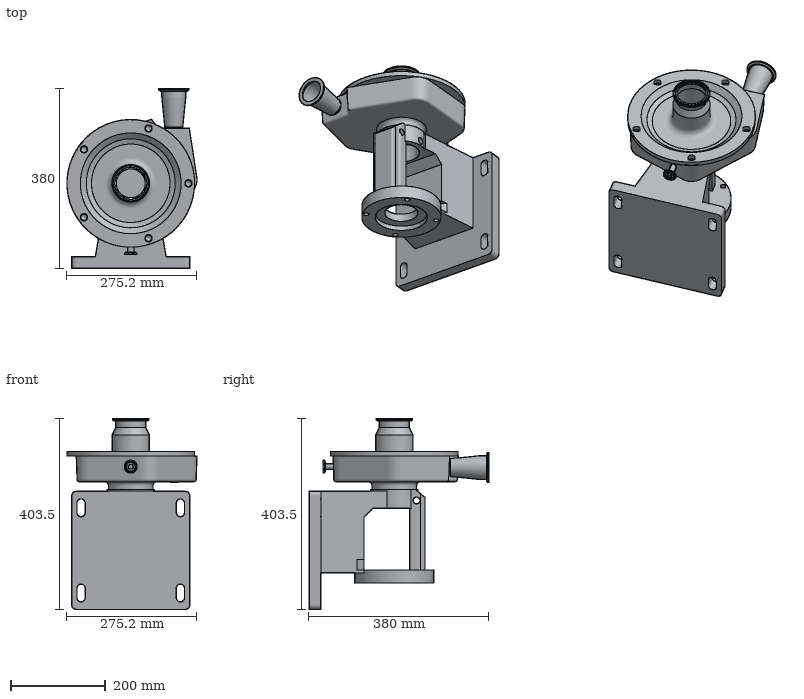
import cadquery as cq
import math


plate_size = 250.0
plate_thickness = 25.0
plate_corner_radius = 10.0
plate_back_y = -180.0
plate_front_y = plate_back_y + plate_thickness
slot_width = 17.0
slot_length = 37.0
slot_spacing_x = 210.0
slot_spacing_z = 180.0

arm_tip_y = -15.5
arm_tip_half_width = 51.0
arm_root_half_width = 75.0
arm_inner_y = -63.5
arm_corner_chamfer = 18.5
arm_bottom_z = 77.7
relief_height = 22.0
relief_length = 15.0

ring_radius = 50.4
ring_bore_radius = 38.0
ring_bottom_z = 214.0
ring_top_z = 253.5
ring_hole_radius = 7.5
ring_hole_z = 226.0

post_half_width = 35.5
post_inner_y = 32.5
post_step_y = 55.5
post_corner_radius = 6.0
rib_half_width = 24.0
rib_outer_y = 65.0
rib_corner_radius = 4.5
post_chamfer_width = 19.5
post_chamfer_height = 16.5
post_hole_radius = 7.0
post_hole_y = 47.0
post_hole_z = 230.5

base_radius = 83.7
base_bore_radius = 35.0
base_recess_radius = 55.0
base_recess_depth = 10.5
base_thickness = 28.0
base_top_z = 84.0
base_bottom_z = base_top_z - base_thickness
base_hole_count = 4
base_hole_circle_radius = 75.0
base_hole_radius = 5.5
base_hole_start_angle = 45.0

casing_sides = 5
casing_apothem = 115.3
casing_corner_radius = 33.5
casing_bottom_z = 270.0
casing_top_z = 324.0
casing_draft = 2.0
casing_edge_radius = 5.0
outlet_face_y = 116.6
outlet_wall_x = 124.0
nose_y = -0.8
hub_radius = 47.4
hub_flare_radius = 53.0
hub_flare_height = 11.5

cover_radius = 135.0
cover_thickness = 10.0
cover_top_z = casing_top_z + cover_thickness
dish_mouth_radius = 106.5
dish_wall_top_radius = 104.5
dish_wall_bottom_radius = 94.0
dish_floor_radius = 83.0
dish_floor_z = 319.0
dish_wall_bottom_z = 323.0
dish_mouth_chamfer = 2.0
screw_count = 5
screw_circle_radius = 122.0
screw_clearance_radius = 7.7
screw_hole_radius = 6.5
screw_hole_bottom_z = 305.0
drill_point_angle = 118.0

inlet_radius = 39.6
inlet_neck_radius = 32.0
inlet_bore_radius = 30.5
inlet_lip_radius = 39.0
inlet_root_radius = 14.0
inlet_shoulder_z = 369.0
inlet_neck_z = 384.5
inlet_top_z = 403.5
inlet_bore_bottom_z = 280.0
inlet_groove_inner_radius = 34.0
inlet_groove_outer_radius = 37.0

outlet_x = 91.0
outlet_z = 300.0
outlet_root_radius = 17.0
outlet_cone_radius = 19.2
outlet_cone_y = 119.2
outlet_tube_radius = 25.5
outlet_tube_y = 181.0
outlet_lip_radius = 32.0
outlet_bore_radius = 23.5
outlet_throat_radius = 15.0
outlet_end_y = 200.0
outlet_root_y = 100.0

drain_z = 302.0
drain_radius = 6.5
drain_bore_radius = 5.0
drain_lip_radius = 13.7
drain_length = 150.7
drain_root_length = casing_apothem - casing_edge_radius
drain_groove_inner_radius = 9.3
drain_groove_outer_radius = 11.3

groove_depth = 1.5
lip_thickness = 3.0
lip_taper = 2.5


def cylinder(radius, bottom_z, top_z, x=0.0, y=0.0):
    return cq.Workplane("XY", origin=(x, y, bottom_z)).circle(radius).extrude(top_z - bottom_z)


def turned(profile):
    """Solid of revolution about Z from (radius, height) points."""
    return cq.Workplane("XZ").polyline(profile).close().revolve(360, (0, 0, 0), (0, 1, 0))


def make_plate():
    plate = (
        cq.Workplane("XZ", origin=(0, plate_front_y, plate_size / 2))
        .rect(plate_size, plate_size)
        .extrude(plate_thickness)
        .edges("|Y")
        .fillet(plate_corner_radius)
    )
    slots = (
        cq.Workplane("XZ", origin=(0, plate_front_y, plate_size / 2))
        .rarray(slot_spacing_x, slot_spacing_z, 2, 2)
        .slot2D(slot_length, slot_width, 90)
        .extrude(plate_thickness)
    )
    return plate.cut(slots)


def arm_half_width(y):
    """Half width of the tapered arm at a given Y."""
    share = (arm_tip_y - y) / (arm_tip_y - plate_front_y)
    return arm_tip_half_width + share * (arm_root_half_width - arm_tip_half_width)


def make_arm():
    side = (
        cq.Workplane("YZ")
        .moveTo(plate_front_y, plate_size)
        .lineTo(arm_tip_y, plate_size)
        .lineTo(arm_tip_y, ring_bottom_z)
        .lineTo(arm_inner_y + arm_corner_chamfer, ring_bottom_z)
        .lineTo(arm_inner_y, ring_bottom_z - arm_corner_chamfer)
        .lineTo(arm_inner_y, arm_bottom_z)
        .lineTo(plate_front_y, arm_bottom_z)
        .close()
        .extrude(arm_root_half_width, both=True)
    )
    plan = (
        cq.Workplane("XY")
        .moveTo(-arm_root_half_width, plate_front_y)
        .lineTo(arm_root_half_width, plate_front_y)
        .lineTo(arm_tip_half_width, arm_tip_y)
        .lineTo(-arm_tip_half_width, arm_tip_y)
        .close()
        .extrude(plate_size)
    )
    arm = side.intersect(plan)
    corner_x = arm_half_width(arm_inner_y)
    relief_y = arm_inner_y - relief_length
    for hand in (-1, 1):
        relief = (
            cq.Workplane("XY", origin=(0, 0, base_top_z))
            .moveTo(hand * (corner_x - relief_length), arm_inner_y)
            .lineTo(hand * arm_root_half_width, arm_inner_y)
            .lineTo(hand * arm_root_half_width, relief_y)
            .lineTo(hand * arm_half_width(relief_y), relief_y)
            .close()
            .extrude(relief_height)
        )
        arm = arm.cut(relief)
    return arm


def make_post():
    height = ring_top_z - base_top_z
    block_depth = post_step_y - post_inner_y
    block = (
        cq.Workplane("XY", origin=(0, post_inner_y + block_depth / 2, base_top_z))
        .rect(2 * post_half_width, block_depth)
        .extrude(height)
        .edges("|Z and >Y")
        .fillet(post_corner_radius)
    )
    rib_depth = rib_outer_y - post_inner_y
    rib = (
        cq.Workplane("XY", origin=(0, post_inner_y + rib_depth / 2, base_top_z))
        .rect(2 * rib_half_width, rib_depth)
        .extrude(height)
        .edges("|Z and >Y")
        .fillet(rib_corner_radius)
    )
    chamfer = (
        cq.Workplane("YZ")
        .moveTo(rib_outer_y, ring_top_z)
        .lineTo(rib_outer_y - post_chamfer_width, ring_top_z)
        .lineTo(rib_outer_y, ring_top_z - post_chamfer_height)
        .close()
        .extrude(post_half_width, both=True)
    )
    return block.union(rib).cut(chamfer)


def make_base():
    base = cylinder(base_radius, base_bottom_z, base_top_z)
    base = base.cut(cylinder(base_bore_radius, base_bottom_z, base_top_z))
    return base.cut(cylinder(base_recess_radius, base_bottom_z, base_bottom_z + base_recess_depth))


def make_bracket():
    bracket = make_arm().union(cylinder(ring_radius, ring_bottom_z, ring_top_z)).union(make_post())
    bracket = bracket.cut(cylinder(ring_bore_radius, base_top_z, ring_top_z))
    ring_hole = (
        cq.Workplane("YZ", origin=(-ring_radius, 0, ring_hole_z))
        .circle(ring_hole_radius)
        .extrude(ring_radius)
    )
    post_hole = (
        cq.Workplane("YZ", origin=(0, post_hole_y, post_hole_z))
        .circle(post_hole_radius)
        .extrude(post_half_width, both=True)
    )
    bracket = bracket.cut(ring_hole).cut(post_hole).union(make_base())
    for index in range(base_hole_count):
        angle = math.radians(base_hole_start_angle + index * 360 / base_hole_count)
        x = base_hole_circle_radius * math.cos(angle)
        y = base_hole_circle_radius * math.sin(angle)
        bracket = bracket.cut(cylinder(base_hole_radius, base_bottom_z, base_top_z, x, y))
    return bracket.union(make_plate())


def casing_corner(index):
    """Sharp pentagon corner; corner 0 lies on +X."""
    angle = math.radians(index * 360 / casing_sides)
    radius = casing_apothem / math.cos(math.pi / casing_sides)
    return radius * math.cos(angle), radius * math.sin(angle)


def along(start, end, y):
    """Point at the given Y on the line through start and end."""
    share = (y - start[1]) / (end[1] - start[1])
    return start[0] + share * (end[0] - start[0]), y


def make_casing():
    """Pentagon with rounded corners; its +X corner grows into a block that carries the outlet."""
    outlet_shoulder = along(casing_corner(1), casing_corner(0), outlet_face_y)
    nose = along(casing_corner(-1), casing_corner(0), nose_y)
    rounded = [casing_corner(index) for index in range(2, casing_sides)] + [nose]
    outline = [outlet_shoulder, casing_corner(1)] + rounded + [(outlet_wall_x, outlet_face_y)]
    height = casing_top_z - casing_bottom_z

    sketch = cq.Sketch().polygon(outline + outline[:1])
    for corner in rounded:
        sketch = sketch.reset().vertices(cq.NearestToPointSelector(corner)).fillet(casing_corner_radius)
    casing = (
        cq.Workplane("XY", origin=(0, 0, casing_top_z))
        .placeSketch(sketch.reset())
        .extrude(-height, taper=casing_draft)
    )
    return casing.faces("<Z").edges().fillet(casing_edge_radius)


def make_hub():
    """Neck between casing and clamp ring, flared where it meets the casing."""
    neck = cylinder(hub_radius, ring_top_z, dish_floor_z)
    flare_end_z = casing_bottom_z - hub_flare_height
    flare_width = hub_flare_radius - hub_radius
    flare = (
        cq.Workplane("XZ")
        .moveTo(0, casing_bottom_z)
        .lineTo(hub_flare_radius, casing_bottom_z)
        .threePointArc(
            (
                hub_flare_radius - flare_width * math.sin(math.pi / 4),
                flare_end_z + hub_flare_height * math.cos(math.pi / 4),
            ),
            (hub_radius, flare_end_z),
        )
        .lineTo(0, flare_end_z)
        .close()
        .revolve(360, (0, 0, 0), (0, 1, 0))
    )
    return neck.union(flare)


def make_dish():
    """Void of the dished centre of the cover."""
    return turned(
        [
            (0, dish_floor_z),
            (dish_floor_radius, dish_floor_z),
            (dish_wall_bottom_radius, dish_wall_bottom_z),
            (dish_wall_top_radius, cover_top_z - dish_mouth_chamfer),
            (dish_mouth_radius, cover_top_z),
            (0, cover_top_z),
        ]
    )


def make_screw_hole(index):
    angle = math.radians(index * 360 / screw_count)
    tip_z = screw_hole_bottom_z - screw_hole_radius * math.tan(math.radians(90 - drill_point_angle / 2))
    hole = turned(
        [
            (0, tip_z),
            (screw_hole_radius, screw_hole_bottom_z),
            (screw_hole_radius, casing_top_z),
            (screw_clearance_radius, casing_top_z),
            (screw_clearance_radius, cover_top_z),
            (0, cover_top_z),
        ]
    )
    x = screw_circle_radius * math.cos(angle)
    y = screw_circle_radius * math.sin(angle)
    return hole.translate((x, y, 0))


def ferrule(profile, lip_radius, tube_radius, end):
    """Turned pipe end: the profile below the lip, closed by a clamp lip with a tapered back."""
    lip_back = end - lip_thickness
    return turned(
        profile
        + [
            (tube_radius, lip_back - lip_taper),
            (tube_radius + lip_taper, lip_back - lip_taper),
            (lip_radius, lip_back),
            (lip_radius, end),
            (0, end),
        ]
    )


def make_groove(inner_radius, outer_radius, end):
    """Ring-shaped gasket groove in a lip face at the given height."""
    groove_floor = end - groove_depth
    return cylinder(outer_radius, groove_floor, end).cut(cylinder(inner_radius, groove_floor, end))


def make_inlet():
    pipe = ferrule(
        [
            (0, dish_floor_z),
            (inlet_radius, dish_floor_z),
            (inlet_radius, inlet_shoulder_z),
            (inlet_neck_radius, inlet_neck_z),
        ],
        inlet_lip_radius,
        inlet_neck_radius,
        inlet_top_z,
    )
    groove = make_groove(inlet_groove_inner_radius, inlet_groove_outer_radius, inlet_top_z)
    root = dish_floor_z
    fillet_offset = inlet_root_radius * (1 - math.cos(math.pi / 4))
    root_fillet = (
        cq.Workplane("XZ")
        .moveTo(0, root)
        .lineTo(inlet_radius + inlet_root_radius, root)
        .threePointArc(
            (inlet_radius + fillet_offset, root + fillet_offset),
            (inlet_radius, root + inlet_root_radius),
        )
        .lineTo(0, root + inlet_root_radius)
        .close()
        .revolve(360, (0, 0, 0), (0, 1, 0))
    )
    return pipe.cut(groove).union(root_fillet)


def make_outlet():
    """Nozzle along +Y, turned about Z first with heights equal to Y."""
    pipe = ferrule(
        [
            (0, outlet_root_y),
            (outlet_root_radius, outlet_root_y),
            (outlet_root_radius, outlet_cone_y),
            (outlet_cone_radius, outlet_cone_y),
            (outlet_tube_radius, outlet_tube_y),
        ],
        outlet_lip_radius,
        outlet_tube_radius,
        outlet_end_y,
    )
    bore = turned(
        [
            (0, outlet_face_y),
            (outlet_throat_radius, outlet_face_y),
            (outlet_throat_radius, outlet_cone_y),
            (outlet_bore_radius, outlet_tube_y),
            (outlet_bore_radius, outlet_end_y),
            (0, outlet_end_y),
        ]
    )
    return pipe.cut(bore).rotate((0, 0, 0), (1, 0, 0), -90).translate((outlet_x, 0, outlet_z))


def make_drain():
    """Small drain pipe along -Y, turned about Z first with heights equal to -Y."""
    pipe = ferrule(
        [(0, drain_root_length), (drain_radius, drain_root_length)],
        drain_lip_radius,
        drain_radius,
        drain_length,
    )
    bore = cylinder(drain_bore_radius, casing_apothem, drain_length)
    groove = make_groove(drain_groove_inner_radius, drain_groove_outer_radius, drain_length)
    pipe = pipe.cut(bore).cut(groove)
    return pipe.rotate((0, 0, 0), (1, 0, 0), 90).translate((0, 0, drain_z))


def make_pump():
    pump = make_casing().union(cylinder(cover_radius, casing_top_z, cover_top_z))
    pump = pump.cut(make_dish()).union(make_hub()).union(make_inlet())
    pump = pump.cut(cylinder(inlet_bore_radius, inlet_bore_bottom_z, inlet_top_z))
    for index in range(screw_count):
        pump = pump.cut(make_screw_hole(index))
    return pump.union(make_outlet()).union(make_drain())


result = make_bracket().union(make_pump())